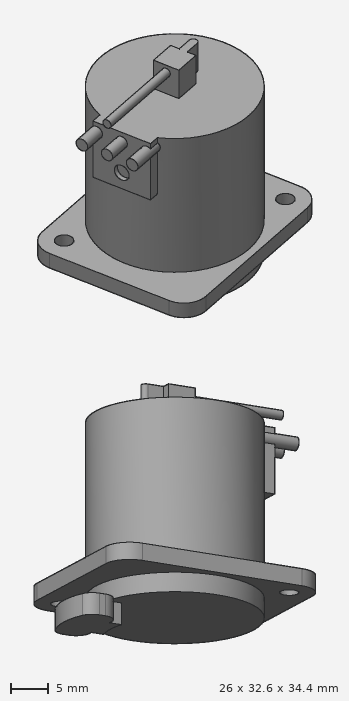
import cadquery as cq
import math

BODY_RADIUS = 11.8
BODY_HEIGHT = 26.8

FLANGE_WIDTH = 26.0
FLANGE_LENGTH = 30.95
FLANGE_THICKNESS = 2.37
FLANGE_BOTTOM = 2.7
FLANGE_CORNER_RADIUS = 3.5
FLANGE_HOLE_RADIUS = 1.27
FLANGE_HOLE_X = 9.5
FLANGE_HOLE_Y = 12.0

PLATE_WIDTH = 9.15
PLATE_HEIGHT = 9.15
PLATE_FACE_Y = -12.52
PLATE_HOLE_RADIUS = 1.17
PLATE_HOLE_Z = 20.23
PLATE_HOLE_DEPTH = 0.72

PIN_END_Y = -16.0
PIN_Z = 25.2
PIN_SPACING = 4.0
OUTER_PIN_RADIUS = 0.93
MIDDLE_PIN_RADIUS = 0.9

BLOCK_SIDE = 4.02
BLOCK_HEIGHT = 4.6
FIN_WIDTH = 1.27
FIN_END_Y = 5.0
ROD_RADIUS = 0.65
ROD_Z = 30.25

LATCH_HEIGHT = 34.4 - BODY_HEIGHT - BLOCK_HEIGHT
LATCH_END_Y = 16.6
LATCH_HALF_WIDTH = 5.02
LATCH_END_RADIUS = 10.32
LATCH_CORNER_RADIUS = 2.03
LATCH_SHOULDER_Y = 11.15
STEM_HALF_WIDTH = 2.5
STEM_INNER_RADIUS = 9.65


def make_flange():
    flange = (
        cq.Workplane("XY", origin=(0, 0, FLANGE_BOTTOM))
        .rect(FLANGE_WIDTH, FLANGE_LENGTH)
        .extrude(FLANGE_THICKNESS)
        .edges("|Z")
        .fillet(FLANGE_CORNER_RADIUS)
    )
    holes = (
        cq.Workplane("XY", origin=(0, 0, FLANGE_BOTTOM))
        .pushPoints([(FLANGE_HOLE_X, FLANGE_HOLE_Y), (-FLANGE_HOLE_X, -FLANGE_HOLE_Y)])
        .circle(FLANGE_HOLE_RADIUS)
        .extrude(FLANGE_THICKNESS)
    )
    return flange.cut(holes)


def rod_along_y(x, z, radius, inner_y, outer_y):
    """Round rod running toward -Y from inner_y to outer_y."""
    return cq.Workplane("XZ", origin=(x, inner_y, z)).circle(radius).extrude(inner_y - outer_y)


def make_plate():
    inner_y = -BODY_RADIUS / 2
    plate = (
        cq.Workplane("XZ", origin=(0, inner_y, BODY_HEIGHT - PLATE_HEIGHT / 2))
        .rect(PLATE_WIDTH, PLATE_HEIGHT)
        .extrude(inner_y - PLATE_FACE_Y)
    )
    for x, radius in (
        (-PIN_SPACING, OUTER_PIN_RADIUS),
        (0, MIDDLE_PIN_RADIUS),
        (PIN_SPACING, OUTER_PIN_RADIUS),
    ):
        plate = plate.union(rod_along_y(x, PIN_Z, radius, inner_y, PIN_END_Y))
    return plate


def make_top_block():
    base = cq.Workplane("XY", origin=(0, 0, BODY_HEIGHT))
    block = base.rect(BLOCK_SIDE, BLOCK_SIDE).extrude(BLOCK_HEIGHT)
    fin_tip_y = FIN_END_Y - FIN_WIDTH / 2
    fin = base.center(0, fin_tip_y / 2).rect(FIN_WIDTH, fin_tip_y).extrude(BLOCK_HEIGHT)
    tip = base.center(0, fin_tip_y).circle(FIN_WIDTH / 2).extrude(BLOCK_HEIGHT)
    rod = rod_along_y(0, ROD_Z, ROD_RADIUS, 0, PIN_END_Y)
    return block.union(fin).union(tip).union(rod)


def make_latch():
    """Wide rounded head on a narrow stem whose end follows a circle about the Z axis."""
    stem_end_y = math.sqrt(STEM_INNER_RADIUS**2 - STEM_HALF_WIDTH**2)
    head_side_y = LATCH_END_Y - LATCH_END_RADIUS + math.sqrt(LATCH_END_RADIUS**2 - LATCH_HALF_WIDTH**2)
    latch = (
        cq.Workplane("XY", origin=(0, 0, -LATCH_HEIGHT))
        .moveTo(-STEM_HALF_WIDTH, stem_end_y)
        .threePointArc((0, STEM_INNER_RADIUS), (STEM_HALF_WIDTH, stem_end_y))
        .lineTo(STEM_HALF_WIDTH, LATCH_SHOULDER_Y)
        .lineTo(LATCH_HALF_WIDTH, LATCH_SHOULDER_Y)
        .lineTo(LATCH_HALF_WIDTH, head_side_y)
        .threePointArc((0, LATCH_END_Y), (-LATCH_HALF_WIDTH, head_side_y))
        .lineTo(-LATCH_HALF_WIDTH, LATCH_SHOULDER_Y)
        .lineTo(-STEM_HALF_WIDTH, LATCH_SHOULDER_Y)
        .close()
        .extrude(LATCH_HEIGHT)
    )
    return latch.edges("|Z and (<X or >X)").fillet(LATCH_CORNER_RADIUS)


body = cq.Workplane("XY").circle(BODY_RADIUS).extrude(BODY_HEIGHT)
plate_hole = rod_along_y(0, PLATE_HOLE_Z, PLATE_HOLE_RADIUS, PLATE_FACE_Y + PLATE_HOLE_DEPTH, PLATE_FACE_Y)

result = (
    body.union(make_flange())
    .union(make_plate())
    .union(make_top_block())
    .union(make_latch())
    .cut(plate_hole)
)